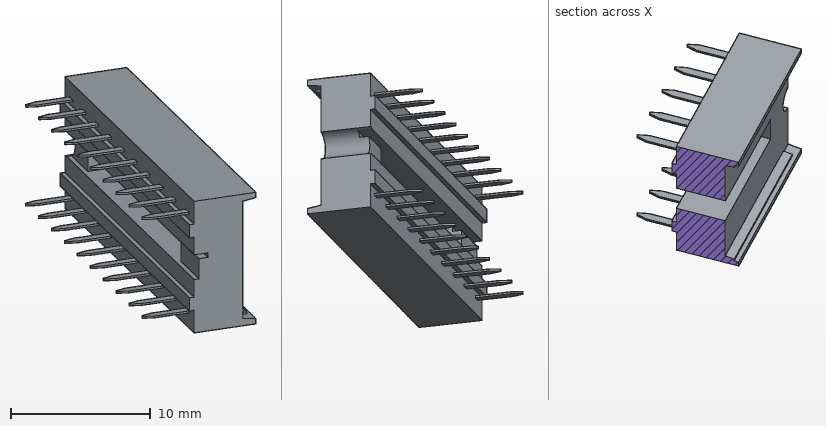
import cadquery as cq

length = 25.4
height = 10.15
body_depth = 3.73
lip_depth = 1.02
rear_y = body_depth + lip_depth

lip_tip_thickness = 0.4
lip_root_thickness = 0.55

pad_thickness = 0.15
pad_depth = 0.69

slot_width = 1.9
bridge_length = 3.55
bridge_recess = 0.38
step_recess = 1.07
step_width = 0.35
notch_radius = 1.02

ridge_width = 1.02
ridge_depth = 0.35
ridge_offset = 2.82

pins_per_row = 10
pin_pitch = 2.55
row_spacing = 7.62
pin_width = 0.6
pin_thickness = 0.15
pin_tip_radius = 0.1
pin_length = 3.5
pin_taper_length = 0.85


def bar(x_size, y_start, y_end, z_size, x=0, z=0):
    """Box centred on x and z, spanning y_start to y_end."""
    return (
        cq.Workplane("XY")
        .box(x_size, y_end - y_start, z_size, centered=(True, False, True))
        .translate((x, y_start, z))
    )


def body_with_lips():
    """Block whose rear face carries a tapered lip along its top and bottom edges."""
    half = height / 2
    outline = [
        (0, -half),
        (rear_y, -half),
        (rear_y, -half + lip_tip_thickness),
        (body_depth, -half + lip_root_thickness),
        (body_depth, half - lip_root_thickness),
        (rear_y, half - lip_tip_thickness),
        (rear_y, half),
        (0, half),
    ]
    return cq.Workplane("YZ").polyline(outline).close().extrude(length / 2, both=True)


def lip_pad():
    """Strip of even thickness on the sloped inner face of the top lip."""
    slope = (lip_root_thickness - lip_tip_thickness) / lip_depth
    root_z = height / 2 - lip_root_thickness
    end_z = root_z + slope * pad_depth
    outline = [
        (body_depth, root_z),
        (body_depth, root_z - pad_thickness),
        (body_depth + pad_depth, end_z - pad_thickness),
        (body_depth + pad_depth, end_z),
    ]
    pad_length = (pins_per_row - 1) * pin_pitch + pin_width
    return cq.Workplane("YZ").polyline(outline).close().extrude(pad_length / 2, both=True)


def pin(x, z):
    """Flat pin pointing to -Y with a tapered tip, rooted on the front face."""
    taper_start = -pin_length + pin_taper_length
    tip_start = -pin_length + pin_tip_radius
    flat = (
        cq.Workplane("XY")
        .moveTo(-pin_width / 2, 0)
        .lineTo(-pin_width / 2, taper_start)
        .lineTo(-pin_tip_radius, tip_start)
        .threePointArc((0, -pin_length), (pin_tip_radius, tip_start))
        .lineTo(pin_width / 2, taper_start)
        .lineTo(pin_width / 2, 0)
        .close()
        .extrude(pin_thickness / 2, both=True)
    )
    return flat.translate((x, 0, z))


result = body_with_lips()
result = result.union(lip_pad()).union(lip_pad().mirror("XY"))

result = result.cut(bar(length - 2 * bridge_length, 0, body_depth, slot_width))
result = result.cut(bar(length, 0, bridge_recess, slot_width))
step_z = (slot_width - step_width) / 2
result = result.cut(bar(length, 0, step_recess, step_width, z=step_z))

notch = cq.Workplane("XZ").center(-length / 2, 0).circle(notch_radius).extrude(-body_depth)
result = result.cut(notch)

for side in (-1, 1):
    result = result.union(bar(length, -ridge_depth, 0, ridge_width, z=side * ridge_offset))
    for index in range(pins_per_row):
        pin_x = (index - (pins_per_row - 1) / 2) * pin_pitch
        result = result.union(pin(pin_x, side * row_spacing / 2))